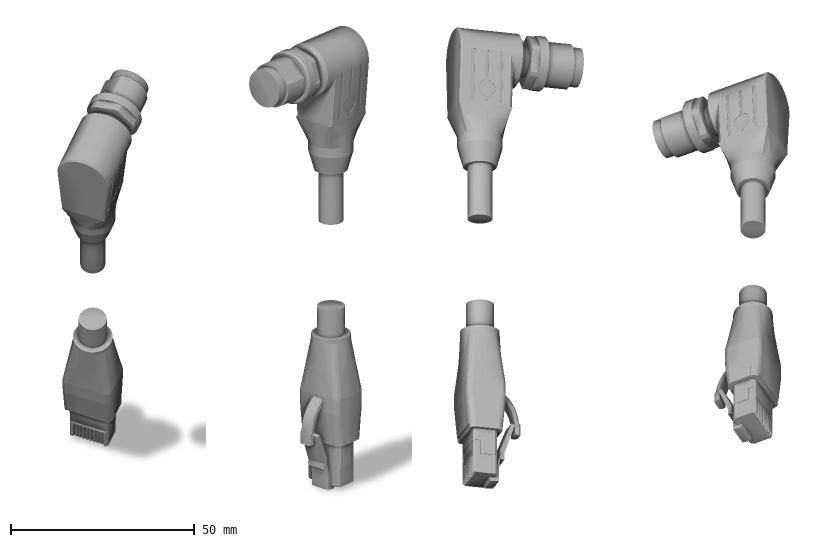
import cadquery as cq
import math


OVERLAP = 0.4

BARREL_RADIUS = 7.5
BARREL_AXIS_Z = 131.6 - BARREL_RADIUS
BACK_Y = -7.5
BARREL_FRONT_Y = 10.7
BARREL_CONE_LENGTH = 1.0
BARREL_CONE_INSET = 0.7
BACK_CHAMFER = 0.4
GRIP_TOP_Z = 123.5
GRIP_BOTTOM_Z = 108.2
GRIP_TOP_HALF_WIDTH = BARREL_RADIUS
GRIP_BOTTOM_HALF_WIDTH = 6.2
GRIP_FRONT_CHAMFER = 0.8

GROOVE_DEPTH = 0.2
GROOVE_BOTTOM_Z = 109.2
GROOVES = [(4.0, 0.9), (0.0, 0.9), (-4.1, 1.2)]
THUMB_MARK_RADIUS = 2.5
THUMB_MARK_Z = 112.8

SLEEVE_RADIUS = 6.2
SLEEVE_TOP_Z = 100.5
SLEEVE_BOTTOM_Z = 97.8
OUTLET_TIP_RADIUS = 4.6
OUTLET_TIP_Z = 92.2
UPPER_CABLE_RADIUS = 3.4
UPPER_CABLE_END_Z = 77.1

KEY_ANGLE = 134
NECK_RADIUS = 4.2
HEX_TURN = 30
HEX_START_Y = 12.8
RING_START_Y = 15.0
NOSE_START_Y = 17.9
NOSE_END_Y = 25.0
TIP_START_Y = 25.7
TIP_END_Y = 27.9
HEX_APOTHEM = 6.6
HEX_CORNER_RADIUS = 7.2
RING_RADIUS = BARREL_RADIUS
RING_CHAMFER = 0.4
NOSE_RADIUS = 6.2
NOSE_FLAT_HALF_ANGLE = 30
NOSE_FLAT_APOTHEM = NOSE_RADIUS * math.cos(math.radians(NOSE_FLAT_HALF_ANGLE))
TIP_GROOVE_RADIUS = 5.3
TIP_RADIUS = 5.4

LOWER_CABLE_RADIUS = 3.8
LOWER_CABLE_TOP_Z = 52.2
COLLAR_RADIUS = 5.4
COLLAR_TOP_Z = 44.2
COLLAR_BOTTOM_Z = 43.0
BOOT_HALF_X = 7.1
BOOT_HALF_Y = 5.7
BOOT_CORNER = 1.7
BOOT_SHOULDER_Z = 27.6
BOOT_TAPER_Z = 23.3
BOOT_BOTTOM_Z = 13.8
BOOT_TAPER_X = 0.1
BOOT_TAPER_Y = 0.9
SIDE_BAND_FRONT_Y = -2.9
SIDE_BAND_BACK_Y = 3.3
LIP_TOP_Z = 15.0
LIP_HALF_X = 5.9
LIP_Y = -4.3

GUARD_WIDTH = 3.7
GUARD_CHAMFER = 0.5
GUARD_ROOT_TOP_Z = 27.4
GUARD_ROOT_BOTTOM_Z = 25.4
GUARD_OUTER_BEND = (9.0, 23.7)
GUARD_INNER_BEND = (8.0, 22.1)
GUARD_OUTER_END_Y = 10.7
GUARD_TIP_INNER_Y = 9.3
GUARD_TIP_OUTER_Y = 11.0
GUARD_TIP_TOP_Z = 18.0
GUARD_TIP_BOTTOM_Z = 14.7

PLUG_HALF_X = 5.8
PLUG_HALF_Y = 3.4
PLUG_CORNER = 0.8
PLUG_BOTTOM_CHAMFER = 0.3
PLUG_BOTTOM_Z = 1.2
SIDE_STEP = 0.2
FRONT_STEP = 0.1
SIDE_STEP_HIGH_Z = 10.7
SIDE_STEP_LOW_Z = 6.7
SIDE_STEP_Y = -1.5
RAMP_HALF_X = 5.0
RAMP_TOP_Z = 9.9
RAMP_BOTTOM_Z = 7.4
RAMP_DEPTH = 0.4
CONTACT_COUNT = 8
CONTACT_PITCH = 1.03
CONTACT_THICKNESS = 0.33
CONTACT_RECESS = 0.3
CONTACT_POCKET_HALF_X = 4.5
CONTACT_POCKET_DEPTH = 0.8
CONTACT_TOP_Z = 6.8
LATCH_WIDTH = 5.8
LATCH_OUTLINE = [
    (2.2, 0.0), (4.6, 0.3), (4.6, 4.1), (4.9, 6.7), (6.2, 6.7), (6.0, 8.3),
    (9.1, 17.1), (8.2, 17.5), (5.0, 9.6), (5.0, 7.9), (3.4, 2.6), (1.5, 2.1),
]


def cylinder_y(radius, start, end):
    """Cylinder on the barrel axis, between two Y positions."""
    axis_start = cq.Vector(0, start, BARREL_AXIS_Z)
    return cq.Workplane(cq.Solid.makeCylinder(radius, end - start, axis_start, cq.Vector(0, 1, 0)))


def cylinder_z(radius, bottom, top):
    """Cylinder on the cable axis, between two heights."""
    return cq.Workplane("XY", origin=(0, 0, bottom)).circle(radius).extrude(top - bottom)


def box_between(x0, x1, y0, y1, z0, z1):
    """Axis-aligned box from its limits."""
    return cq.Workplane("XY").box(x1 - x0, y1 - y0, z1 - z0, centered=False).translate((x0, y0, z0))


def make_housing_shell():
    """Barrel and tapered grip, with the rear rim chamfered."""
    barrel = cylinder_y(BARREL_RADIUS, BACK_Y, BARREL_FRONT_Y)
    barrel = barrel.faces(">Y").chamfer(BARREL_CONE_INSET, BARREL_CONE_LENGTH)
    barrel = barrel.faces("<Y").chamfer(BACK_CHAMFER)
    grip = (
        cq.Workplane("XZ", origin=(0, -BACK_Y, 0))
        .moveTo(-GRIP_TOP_HALF_WIDTH, GRIP_TOP_Z)
        .lineTo(GRIP_TOP_HALF_WIDTH, GRIP_TOP_Z)
        .lineTo(GRIP_BOTTOM_HALF_WIDTH, GRIP_BOTTOM_Z)
        .lineTo(-GRIP_BOTTOM_HALF_WIDTH, GRIP_BOTTOM_Z)
        .close()
        .extrude(-2 * BACK_Y)
    )
    grip = grip.faces(">Y").edges("not |X").chamfer(GRIP_FRONT_CHAMFER)
    grip = grip.faces("<Y").edges("not |X").chamfer(BACK_CHAMFER)
    return barrel.union(grip)


def make_grip_marks():
    """Shallow grooves and a round thumb mark, cut into both leaning sides of the grip."""
    lean = math.atan2(GRIP_TOP_HALF_WIDTH - GRIP_BOTTOM_HALF_WIDTH, GRIP_TOP_Z - GRIP_BOTTOM_Z)
    groove_length = (GRIP_TOP_Z - GROOVE_BOTTOM_Z) / math.cos(lean)
    mark_height = (THUMB_MARK_Z - GROOVE_BOTTOM_Z) / math.cos(lean)
    slope = math.tan(lean)
    bottom_half_width = GRIP_BOTTOM_HALF_WIDTH + slope * (GROOVE_BOTTOM_Z - GRIP_BOTTOM_Z)
    marks = cq.Workplane()
    for side in (-1, 1):
        face = cq.Plane(
            origin=(side * bottom_half_width, 0, GROOVE_BOTTOM_Z),
            xDir=(0, side, 0),
            normal=(side * math.cos(lean), 0, -math.sin(lean)),
        )
        for middle_y, width in GROOVES:
            groove = cq.Workplane(face).center(side * middle_y, groove_length / 2)
            marks = marks.add(groove.rect(width, groove_length).extrude(-GROOVE_DEPTH))
        disc = cq.Workplane(face).center(0, mark_height).circle(THUMB_MARK_RADIUS)
        marks = marks.add(disc.extrude(-GROOVE_DEPTH))
    return marks.combine()


def make_cable_outlet():
    """Rectangle-to-round transition, sleeve, cone and cable below the grip."""
    transition = (
        cq.Workplane("XY", origin=(0, 0, GRIP_BOTTOM_Z))
        .rect(2 * GRIP_BOTTOM_HALF_WIDTH, -2 * BACK_Y)
        .workplane(offset=SLEEVE_TOP_Z - GRIP_BOTTOM_Z)
        .circle(SLEEVE_RADIUS)
        .loft(ruled=True)
    )
    sleeve_and_cable = (
        cq.Workplane("XZ")
        .moveTo(0, SLEEVE_TOP_Z)
        .lineTo(SLEEVE_RADIUS, SLEEVE_TOP_Z)
        .lineTo(SLEEVE_RADIUS, SLEEVE_BOTTOM_Z)
        .lineTo(OUTLET_TIP_RADIUS, OUTLET_TIP_Z)
        .lineTo(UPPER_CABLE_RADIUS, OUTLET_TIP_Z)
        .lineTo(UPPER_CABLE_RADIUS, UPPER_CABLE_END_Z)
        .lineTo(0, UPPER_CABLE_END_Z)
        .close()
        .revolve()
    )
    return transition.union(sleeve_and_cable)


def turn_to_key(shape, angle):
    """Turn a shape about the barrel axis, from +X toward +Z."""
    return shape.rotate((0, 0, BARREL_AXIS_Z), (0, -1, BARREL_AXIS_Z), angle)


def make_mating_end():
    """Neck, hexagon, ring, flatted nose and tip along +Y."""
    neck = cylinder_y(NECK_RADIUS, BARREL_FRONT_Y - OVERLAP, HEX_START_Y)

    hexagon = (
        cq.Workplane("XZ", origin=(0, RING_START_Y, BARREL_AXIS_Z))
        .polygon(6, 2 * HEX_APOTHEM, circumscribed=True)
        .extrude(RING_START_Y - HEX_START_Y)
    )
    hexagon = turn_to_key(hexagon, KEY_ANGLE + HEX_TURN)
    hexagon = hexagon.intersect(cylinder_y(HEX_CORNER_RADIUS, HEX_START_Y, RING_START_Y))

    ring = cylinder_y(RING_RADIUS, RING_START_Y, NOSE_START_Y).faces(">Y").chamfer(RING_CHAMFER)

    nose = cylinder_y(NOSE_RADIUS, NOSE_START_Y, NOSE_END_Y)
    beyond_flat = box_between(
        NOSE_FLAT_APOTHEM, NOSE_FLAT_APOTHEM + NOSE_RADIUS,
        NOSE_START_Y, NOSE_END_Y,
        BARREL_AXIS_Z - NOSE_RADIUS, BARREL_AXIS_Z + NOSE_RADIUS,
    )
    nose = nose.cut(turn_to_key(beyond_flat, KEY_ANGLE))

    tip_groove = cylinder_y(TIP_GROOVE_RADIUS, NOSE_END_Y, TIP_START_Y)
    tip = cylinder_y(TIP_RADIUS, TIP_START_Y, TIP_END_Y)
    return neck.union(hexagon).union(ring).union(nose).union(tip_groove).union(tip)


def make_angled_connector():
    housing = make_housing_shell().cut(make_grip_marks())
    return housing.union(make_cable_outlet()).union(make_mating_end())


def rounded_rectangle(half_x, half_y, corner):
    return cq.Sketch().rect(2 * half_x, 2 * half_y).vertices().fillet(corner)


def make_boot():
    """Cable, collar, shoulders and the lower block whose faces lean in beside straight side bands."""
    cable = cylinder_z(LOWER_CABLE_RADIUS, COLLAR_TOP_Z - OVERLAP, LOWER_CABLE_TOP_Z)
    collar = cylinder_z(COLLAR_RADIUS, COLLAR_BOTTOM_Z, COLLAR_TOP_Z)
    outline = rounded_rectangle(BOOT_HALF_X, BOOT_HALF_Y, BOOT_CORNER)
    top_circle = cq.Sketch().circle(COLLAR_RADIUS)
    shoulders = (
        cq.Workplane("XY", origin=(0, 0, BOOT_SHOULDER_Z))
        .placeSketch(
            outline,
            top_circle.moved(cq.Location((0, 0, COLLAR_BOTTOM_Z - BOOT_SHOULDER_Z))),
        )
        .loft()
    )
    block = (
        cq.Workplane("XY", origin=(0, 0, BOOT_TAPER_Z))
        .placeSketch(outline)
        .extrude(BOOT_SHOULDER_Z - BOOT_TAPER_Z)
    )
    bottom_outline = rounded_rectangle(
        BOOT_HALF_X - BOOT_TAPER_X, BOOT_HALF_Y - BOOT_TAPER_Y, BOOT_CORNER
    )
    taper = (
        cq.Workplane("XY", origin=(0, 0, BOOT_TAPER_Z))
        .placeSketch(outline, bottom_outline.moved(cq.Location((0, 0, BOOT_BOTTOM_Z - BOOT_TAPER_Z))))
        .loft()
    )
    lip_recess = box_between(
        -LIP_HALF_X, LIP_HALF_X, -BOOT_HALF_Y, LIP_Y, BOOT_BOTTOM_Z, LIP_TOP_Z
    )
    side_band = box_between(
        -BOOT_HALF_X, BOOT_HALF_X,
        SIDE_BAND_FRONT_Y, SIDE_BAND_BACK_Y,
        BOOT_BOTTOM_Z, BOOT_TAPER_Z,
    )
    lower_block = taper.cut(lip_recess).union(side_band)
    return cable.union(collar).union(shoulders).union(block).union(lower_block)


def make_latch_guard():
    """Curved arm on the back of the boot, ending in a short upright lip."""
    root_y = BOOT_HALF_Y - OVERLAP
    guard = (
        cq.Workplane("YZ", origin=(-GUARD_WIDTH / 2, 0, 0))
        .moveTo(root_y, GUARD_ROOT_TOP_Z)
        .threePointArc(GUARD_OUTER_BEND, (GUARD_OUTER_END_Y, GUARD_TIP_TOP_Z))
        .lineTo(GUARD_TIP_OUTER_Y, GUARD_TIP_TOP_Z)
        .lineTo(GUARD_TIP_OUTER_Y, GUARD_TIP_BOTTOM_Z)
        .lineTo(GUARD_TIP_INNER_Y, GUARD_TIP_BOTTOM_Z)
        .lineTo(GUARD_TIP_INNER_Y, GUARD_TIP_TOP_Z)
        .threePointArc(GUARD_INNER_BEND, (root_y, GUARD_ROOT_BOTTOM_Z))
        .close()
        .extrude(GUARD_WIDTH)
    )
    guard = guard.edges("%CIRCLE").edges(">Z").chamfer(GUARD_CHAMFER)
    return guard.faces(">Y").edges("|Z").chamfer(GUARD_CHAMFER)


def make_plug():
    """Plug block with stepped sides, a ramp and a pocket with a row of contacts on the front face."""
    front_y = -PLUG_HALF_Y
    stepped_front_y = front_y + FRONT_STEP
    plug = box_between(
        -PLUG_HALF_X, PLUG_HALF_X, front_y, PLUG_HALF_Y, PLUG_BOTTOM_Z, BOOT_BOTTOM_Z + OVERLAP
    )
    plug = plug.edges("|Z").chamfer(PLUG_CORNER)
    plug = plug.faces("<Z").chamfer(PLUG_BOTTOM_CHAMFER)
    plug = plug.cut(
        box_between(
            -RAMP_HALF_X, RAMP_HALF_X,
            front_y, stepped_front_y,
            PLUG_BOTTOM_Z, SIDE_STEP_HIGH_Z,
        )
    )

    for side in (-1, 1):
        inner = side * (PLUG_HALF_X - SIDE_STEP)
        outer = side * PLUG_HALF_X
        x0, x1 = min(inner, outer), max(inner, outer)
        plug = plug.cut(box_between(x0, x1, front_y, SIDE_STEP_Y, PLUG_BOTTOM_Z, SIDE_STEP_HIGH_Z))
        plug = plug.cut(box_between(x0, x1, SIDE_STEP_Y, PLUG_HALF_Y, PLUG_BOTTOM_Z, SIDE_STEP_LOW_Z))

    ramp = (
        cq.Workplane("YZ", origin=(-RAMP_HALF_X, 0, 0))
        .moveTo(stepped_front_y, RAMP_TOP_Z)
        .lineTo(stepped_front_y, RAMP_BOTTOM_Z)
        .lineTo(stepped_front_y + RAMP_DEPTH, RAMP_BOTTOM_Z)
        .close()
        .extrude(2 * RAMP_HALF_X)
    )
    plug = plug.cut(ramp)

    pocket_back_y = front_y + CONTACT_POCKET_DEPTH
    plug = plug.cut(
        box_between(
            -CONTACT_POCKET_HALF_X, CONTACT_POCKET_HALF_X,
            front_y, pocket_back_y,
            PLUG_BOTTOM_Z, CONTACT_TOP_Z,
        )
    )
    for index in range(CONTACT_COUNT):
        middle = (index - (CONTACT_COUNT - 1) / 2) * CONTACT_PITCH
        contact = box_between(
            middle - CONTACT_THICKNESS / 2, middle + CONTACT_THICKNESS / 2,
            front_y + CONTACT_RECESS, pocket_back_y + OVERLAP,
            PLUG_BOTTOM_Z + PLUG_BOTTOM_CHAMFER, CONTACT_TOP_Z,
        )
        plug = plug.union(contact)
    return plug


def make_latch():
    """Spring latch: a foot under the plug and a stepped arm that leans outward as it rises."""
    side = cq.Workplane("YZ", origin=(-LATCH_WIDTH / 2, 0, 0))
    return side.polyline(LATCH_OUTLINE).close().extrude(LATCH_WIDTH)


def make_modular_plug():
    return make_boot().union(make_latch_guard()).union(make_plug()).union(make_latch())


angled_connector = make_angled_connector()
modular_plug = make_modular_plug()

result = cq.Compound.makeCompound([angled_connector.val(), modular_plug.val()])